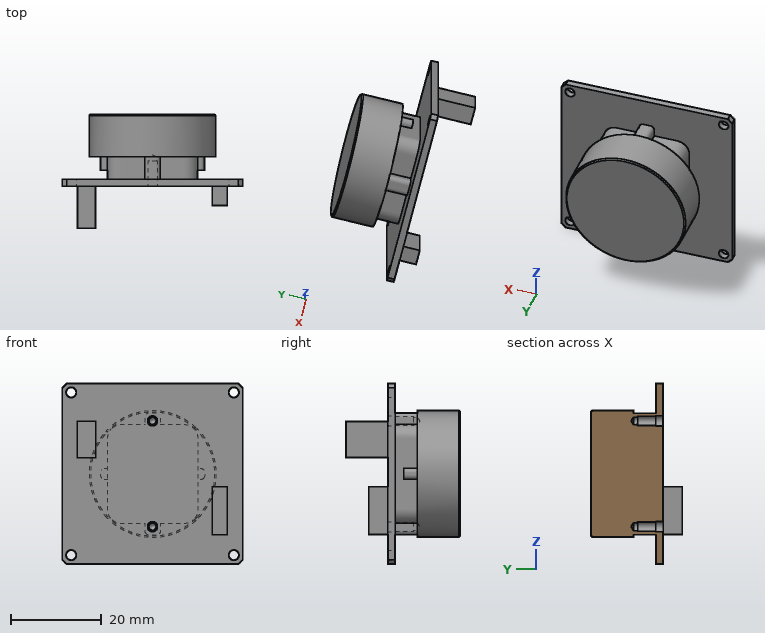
import cadquery as cq
import math

BOARD_SIZE = 39.9
BOARD_THICKNESS = 1.6
BOARD_CORNER_CHAMFER = 1.0
SCREW_CLEARANCE_DIAMETER = 2.2
CORNER_HOLE_INSET = 2.0

SUPPORT_LENGTH = 4.9
BLOCK_WIDTH = 19.95
BLOCK_HEIGHT = 21.8
BLOCK_CORNER_RADIUS = 3.0
SMALL_CORNER_RADIUS = 1.0
SCREW_TAB_WIDTH = 3.5
SCREW_TAB_SPAN = 26.95
SIDE_LUG_SPAN = 23.02
SIDE_LUG_HEIGHT = 2.47
SIDE_LUG_LENGTH = 3.0

SCREW_SPACING = 23.35
DRILL_DIAMETER = 1.6
THREAD_DIAMETER = 2.0
THREAD_DEPTH = 4.0
DRILL_POINT_ANGLE = 118.0

DRUM_DIAMETER = 28.0
DRUM_LENGTH = 9.4
DRUM_EDGE_CHAMFER = 0.3

TALL_CONNECTOR_CENTER = (-14.55, 7.6)
TALL_CONNECTOR_SIZE = (4.0, 7.98)
TALL_CONNECTOR_LENGTH = 9.3
LOW_CONNECTOR_CENTER = (14.85, -8.15)
LOW_CONNECTOR_SIZE = (3.4, 10.6)
LOW_CONNECTOR_LENGTH = 4.25

SUPPORT_START = BOARD_THICKNESS
DRUM_START = SUPPORT_START + SUPPORT_LENGTH


def plane_at(y):
    """Sketch plane parallel to XZ at the given Y, extruding toward +Y, with local axes -X and Z."""
    return cq.Workplane(cq.Plane(origin=(0, y, 0), xDir=(-1, 0, 0), normal=(0, 1, 0)))


def box_along_y(width, height, start, length):
    return plane_at(start).rect(width, height).extrude(length)


def rounded_bar(width, height, radius, start, length):
    return box_along_y(width, height, start, length).edges("|Y").fillet(radius)


def make_board():
    board = box_along_y(BOARD_SIZE, BOARD_SIZE, 0, BOARD_THICKNESS)
    board = board.edges("|Y").chamfer(BOARD_CORNER_CHAMFER)
    hole_spacing = BOARD_SIZE - 2 * CORNER_HOLE_INSET
    corner_holes = (
        plane_at(0)
        .rect(hole_spacing, hole_spacing, forConstruction=True)
        .vertices()
        .circle(SCREW_CLEARANCE_DIAMETER / 2)
        .extrude(BOARD_THICKNESS)
    )
    return board.cut(corner_holes)


def make_support():
    block = rounded_bar(BLOCK_WIDTH, BLOCK_HEIGHT, BLOCK_CORNER_RADIUS, SUPPORT_START, SUPPORT_LENGTH)
    screw_tabs = rounded_bar(
        SCREW_TAB_WIDTH, SCREW_TAB_SPAN, SMALL_CORNER_RADIUS, SUPPORT_START, SUPPORT_LENGTH
    )
    side_lugs = rounded_bar(
        SIDE_LUG_SPAN, SIDE_LUG_HEIGHT, SMALL_CORNER_RADIUS, DRUM_START - SIDE_LUG_LENGTH, SIDE_LUG_LENGTH
    )
    return block.union(screw_tabs).union(side_lugs)


def make_drum():
    drum = plane_at(DRUM_START).circle(DRUM_DIAMETER / 2).extrude(DRUM_LENGTH)
    return drum.faces(">Y").edges().chamfer(DRUM_EDGE_CHAMFER)


def make_connector(center, size, length):
    width, height = size
    x, z = center
    return box_along_y(width, height, -length, length).translate((x, 0, z))


def make_screw_hole(z):
    """Clearance step in the board, thread step in the tab, then a drilled core with a conical bottom."""
    clearance = plane_at(0).circle(SCREW_CLEARANCE_DIAMETER / 2).extrude(BOARD_THICKNESS)
    thread = plane_at(SUPPORT_START).circle(THREAD_DIAMETER / 2).extrude(THREAD_DEPTH)
    drill_radius = DRILL_DIAMETER / 2
    point_length = drill_radius / math.tan(math.radians(DRILL_POINT_ANGLE / 2))
    core = (
        cq.Workplane("XY")
        .lineTo(drill_radius, 0)
        .lineTo(drill_radius, DRUM_START)
        .lineTo(0, DRUM_START + point_length)
        .close()
        .revolve(360, (0, 0, 0), (0, 1, 0))
    )
    return clearance.union(thread).union(core).translate((0, 0, z))


result = make_board().union(make_support()).union(make_drum())
result = result.union(make_connector(TALL_CONNECTOR_CENTER, TALL_CONNECTOR_SIZE, TALL_CONNECTOR_LENGTH))
result = result.union(make_connector(LOW_CONNECTOR_CENTER, LOW_CONNECTOR_SIZE, LOW_CONNECTOR_LENGTH))
for side in (-1, 1):
    result = result.cut(make_screw_hole(side * SCREW_SPACING / 2))